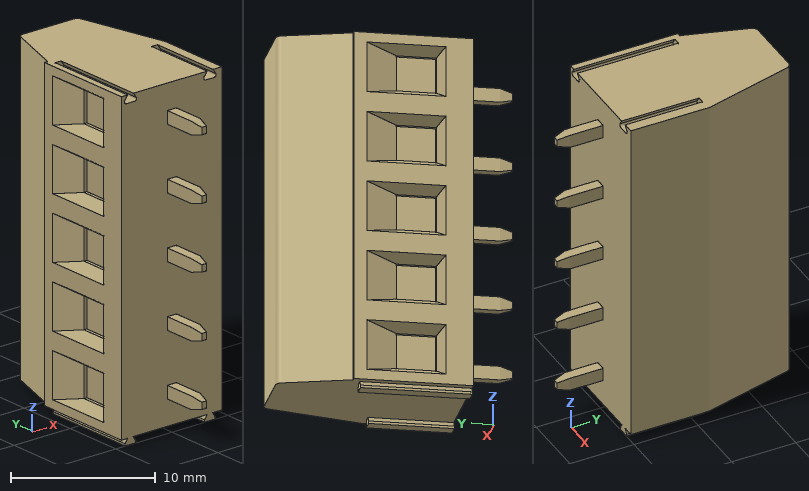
import cadquery as cq


total_height = 26.0
total_depth = 17.0

pole_count = 5
width = 9.0
depth = 13.5
rail_height = 0.52
height = total_height - rail_height
pitch = height / pole_count
left_shoulder_y = 8.4
left_step = 0.29
right_shoulder_y = 6.15
back_left_x = 1.9
back_right_x = 7.12
back_edge_radius = 0.5

pin_width = 0.8
pin_height = 1.01
pin_length = total_depth - depth
pin_taper_length = 0.9
tip_width = 0.42
tip_height = 0.55

opening_y_min = 1.95
opening_y_max = 7.5
opening_height = 3.65
funnel_depth = 0.95
throat_y_min = 2.45
throat_y_max = 5.25
throat_height = 2.57
throat_depth = 0.25

dovetails = [(0.8, 7.88), (7.9, 6.03)]
rail_neck_width = 0.52
rail_foot_width = 0.95
rail_foot_thickness = 0.18
no_clearance = 0
groove_clearance = 0.1
groove_corner_radius = 0.15


def make_housing():
    outline = (
        cq.Workplane("XY")
        .moveTo(0, 0)
        .lineTo(width, 0)
        .lineTo(width, right_shoulder_y)
        .lineTo(back_right_x, depth)
        .lineTo(back_left_x, depth)
        .lineTo(left_step, left_shoulder_y)
        .lineTo(0, left_shoulder_y)
        .close()
    )
    return outline.extrude(height).edges("|Z and >Y").fillet(back_edge_radius)


def make_dovetail(center_x, length, top_z, clearance):
    """Bar running back from the front face, hanging below top_z and widening to a straight-sided foot.

    The clearance deepens the bar and widens its foot, but leaves the neck as it is.
    """
    half_neck = rail_neck_width / 2
    half_foot = rail_foot_width / 2 + clearance / 2
    bottom_z = top_z - rail_height - clearance
    foot_z = bottom_z + rail_foot_thickness + clearance / 2
    profile = [
        (center_x - half_neck, top_z),
        (center_x - half_foot, foot_z),
        (center_x - half_foot, bottom_z),
        (center_x + half_foot, bottom_z),
        (center_x + half_foot, foot_z),
        (center_x + half_neck, top_z),
    ]
    return cq.Workplane("XZ").polyline(profile).close().extrude(-length)


def make_pin(center_z):
    """Rectangular pin projecting from the front face, ending in a tapered tip."""
    shank_length = pin_length - pin_taper_length
    base = cq.Workplane("XZ").center(width / 2, center_z).rect(pin_width, pin_height)
    shank = base.extrude(shank_length)
    tip = (
        shank.faces("<Y")
        .workplane(centerOption="CenterOfMass")
        .rect(pin_width, pin_height)
        .workplane(offset=pin_taper_length)
        .rect(tip_width, tip_height)
        .loft(ruled=True, combine=False)
    )
    return shank.union(tip)


def make_opening(center_z):
    """Funnel narrowing from the left face to a shallow straight throat."""
    throat_length = throat_y_max - throat_y_min
    opening_center_y = (opening_y_min + opening_y_max) / 2
    throat_center_y = (throat_y_min + throat_y_max) / 2
    funnel = (
        cq.Workplane("YZ")
        .center(opening_center_y, center_z)
        .rect(opening_y_max - opening_y_min, opening_height)
        .workplane(offset=funnel_depth)
        .center(throat_center_y - opening_center_y, 0)
        .rect(throat_length, throat_height)
        .loft(ruled=True)
    )
    throat = (
        cq.Workplane("YZ", origin=(funnel_depth, throat_center_y, center_z))
        .rect(throat_length, throat_height)
        .extrude(throat_depth)
    )
    return funnel.union(throat)


result = make_housing()

for center_x, length in dovetails:
    result = result.union(make_dovetail(center_x, length, 0, no_clearance))
    groove = make_dovetail(center_x, length, height, groove_clearance)
    groove = groove.faces("<Z").edges("|Y").fillet(groove_corner_radius)
    result = result.cut(groove)

for pole in range(pole_count):
    pole_z = (pole + 0.5) * pitch
    result = result.cut(make_opening(pole_z))
    result = result.union(make_pin(pole_z))